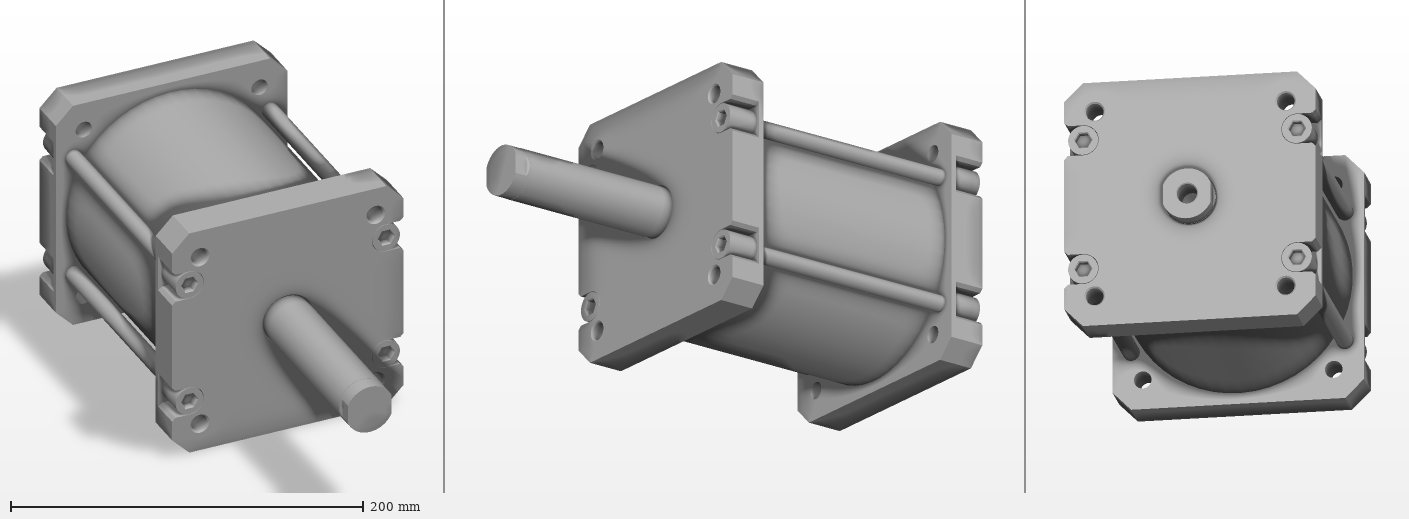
import cadquery as cq
import math


total_length = 298.0
tail_length = 10.0
plate_thickness = 22.0
barrel_length = 133.8
rear_outer_x = tail_length
rear_inner_x = rear_outer_x + plate_thickness
front_inner_x = rear_inner_x + barrel_length
front_outer_x = front_inner_x + plate_thickness
middle_x = (rear_outer_x + front_outer_x) / 2

plate_size = 145.0
corner_chamfer = 10.7
mount_offset = 55.0
mount_diameter = 10.0
mount_chamfer = 1.0
bore_chamfer = 1.0

barrel_diameter = 132.3

rod_diameter = 30.0
rod_end_diameter = 29.8
rod_end_length = 9.5
flat_width = 27.5
flat_length = 7.7
center_hole_diameter = 11.5
center_hole_chamfer = 0.5
center_hole_depth = 18.0
drill_tip_angle = 118.0

tie_y = 61.7
tie_z = 38.5
tie_diameter = 9.8
head_diameter = 17.3
head_length = 18.8
socket_width = 8.3
socket_depth = 4.5
socket_chamfer = 0.5

recess_width = 18.0
recess_mouth_chamfer = 2.0

tie_places = [(sy * tie_y, sz * tie_z) for sy in (1, -1) for sz in (1, -1)]
mount_places = [(sy * mount_offset, sz * mount_offset) for sy in (1, -1) for sz in (1, -1)]


def bar(diameter, start_x, length, y=0.0, z=0.0):
    """Round bar that runs from start_x toward +X."""
    return cq.Workplane("YZ", origin=(start_x, y, z)).circle(diameter / 2).extrude(length)


def cone(start_diameter, end_diameter, start_x, length, y=0.0, z=0.0):
    """Cone along +X, pointed when end_diameter is zero."""
    solid = cq.Solid.makeCone(
        start_diameter / 2, end_diameter / 2, length, cq.Vector(start_x, y, z), cq.Vector(1, 0, 0)
    )
    return cq.Workplane(obj=solid)


def mouth_chamfer(diameter, chamfer, start_x, y=0.0, z=0.0):
    """Cutter for a 45 degree chamfer at the mouth of a hole that starts at start_x."""
    return cone(diameter + 2 * chamfer, diameter, start_x, chamfer, y, z)


def mirrored(body):
    """The same body turned end for end about the middle of the barrel."""
    return body.mirror("YZ", (middle_x, 0, 0))


def head_recess(y, z):
    """Cutter for a U-shaped recess open to the nearest plate side, with a flared mouth."""
    side = math.copysign(1, y)
    side_y = side * plate_size / 2
    half_width = recess_width / 2
    half_mouth = half_width + recess_mouth_chamfer
    outline = (
        cq.Workplane("YZ", origin=(rear_outer_x, 0, 0))
        .moveTo(y, z + half_width)
        .lineTo(side_y - side * recess_mouth_chamfer, z + half_width)
        .lineTo(side_y, z + half_mouth)
        .lineTo(side_y, z - half_mouth)
        .lineTo(side_y - side * recess_mouth_chamfer, z - half_width)
        .lineTo(y, z - half_width)
        .threePointArc((y - side * half_width, z), (y, z + half_width))
        .close()
    )
    return outline.extrude(head_length)


def make_rear_plate():
    plate = (
        cq.Workplane("XY")
        .box(plate_thickness, plate_size, plate_size)
        .edges("|X")
        .chamfer(corner_chamfer)
        .translate((rear_outer_x + plate_thickness / 2, 0, 0))
    )
    plate = plate.cut(bar(rod_diameter, rear_outer_x, plate_thickness))
    plate = plate.cut(mouth_chamfer(rod_diameter, bore_chamfer, rear_outer_x))
    for y, z in mount_places:
        plate = plate.cut(bar(mount_diameter, rear_outer_x, plate_thickness, y, z))
        plate = plate.cut(mouth_chamfer(mount_diameter, mount_chamfer, rear_outer_x, y, z))
    for y, z in tie_places:
        plate = plate.cut(bar(tie_diameter, rear_outer_x, plate_thickness, y, z))
        plate = plate.cut(head_recess(y, z))
    return plate


def make_barrel():
    barrel = bar(barrel_diameter, rear_inner_x, barrel_length)
    return barrel.cut(bar(rod_diameter, rear_inner_x, barrel_length))


def wrench_flat():
    """Cutter for the -Y flat of the rear rod end, with a 45 degree run-out."""
    flat_y = -flat_width / 2
    outer_y = -rod_diameter / 2
    return (
        cq.Workplane("XY")
        .moveTo(0, flat_y)
        .lineTo(flat_length, flat_y)
        .lineTo(flat_length + flat_y - outer_y, outer_y)
        .lineTo(0, outer_y)
        .close()
        .extrude(rod_diameter / 2, both=True)
    )


def center_hole():
    """Cutter for the blind drilled hole with a chamfered mouth in the rear rod end."""
    tip_length = center_hole_diameter / 2 / math.tan(math.radians(drill_tip_angle / 2))
    straight = bar(center_hole_diameter, 0, center_hole_depth)
    tip = cone(center_hole_diameter, 0, center_hole_depth, tip_length)
    return straight.union(tip).union(mouth_chamfer(center_hole_diameter, center_hole_chamfer, 0))


def make_piston_rod():
    body_length = total_length - 2 * rod_end_length
    rod = bar(rod_diameter, rod_end_length, body_length).union(bar(rod_end_diameter, 0, total_length))
    near_flat = wrench_flat()
    for flat in (near_flat, near_flat.mirror("XZ")):
        rod = rod.cut(flat)
        rod = rod.cut(flat.mirror("YZ", (total_length / 2, 0, 0)))
    return rod.cut(center_hole())


def hexagon(width):
    """Hexagon sketch of the given width across flats, flats facing +Z and -Z."""
    return cq.Workplane("YZ").polygon(6, width / math.cos(math.radians(30)))


def head_socket(y, z):
    """Cutter for the hexagon socket in the rear head, with a 45 degree chamfered mouth."""
    straight = hexagon(socket_width).extrude(socket_depth)
    mouth = hexagon(socket_width + 2 * socket_chamfer).extrude(socket_chamfer, taper=45)
    return straight.union(mouth).translate((rear_outer_x, y, z))


def make_tie_rod(y, z):
    tie = bar(tie_diameter, rear_outer_x, front_outer_x - rear_outer_x, y, z)
    head = bar(head_diameter, rear_outer_x, head_length, y, z).cut(head_socket(y, z))
    tie = tie.cut(bar(tie_diameter, rear_outer_x, head_length, y, z))
    tie = tie.cut(bar(tie_diameter, front_outer_x - head_length, head_length, y, z))
    return tie.union(head).union(mirrored(head))


rear_plate = make_rear_plate()
front_plate = mirrored(rear_plate)
barrel = make_barrel()
piston_rod = make_piston_rod()
tie_rods = [make_tie_rod(y, z) for y, z in tie_places]

result = cq.Compound.makeCompound(
    [
        rear_plate.val(),
        front_plate.val(),
        barrel.val(),
        piston_rod.val(),
        *[tie.val() for tie in tie_rods],
    ]
)